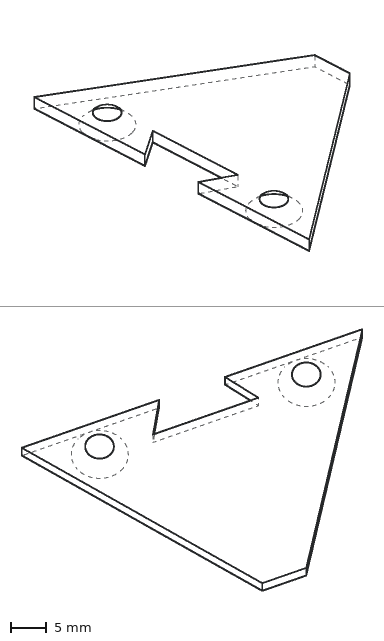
import cadquery as cq

base_width = 51.78
plate_height = 33.83
thickness = 2.0
side_slope = 1.5
top_width = base_width - 2 * plate_height / side_slope

notch_mouth_width = 10.0
notch_inner_width = 16.0
notch_depth = 5.0

hole_top_diameter = 4.0
hole_bottom_diameter = 8.0
hole_spacing = 31.4
hole_height = 4.0


def trapezoid_prism(lower_width, upper_width, height):
    """Trapezoid standing on the X axis, extruded through the thickness."""
    outline = [
        (-lower_width / 2, 0),
        (lower_width / 2, 0),
        (upper_width / 2, height),
        (-upper_width / 2, height),
    ]
    return cq.Workplane("XY").polyline(outline).close().extrude(thickness)


def countersunk_holes():
    """Pair of cones that cut the through holes, narrowing from the bottom face to the top face."""
    centres = [(side * hole_spacing / 2, hole_height) for side in (-1, 1)]
    cone = cq.Solid.makeCone(hole_bottom_diameter / 2, hole_top_diameter / 2, thickness)
    return cq.Workplane("XY").pushPoints(centres).eachpoint(cone)


plate = trapezoid_prism(base_width, top_width, plate_height)
notch = trapezoid_prism(notch_mouth_width, notch_inner_width, notch_depth)
result = plate.cut(notch).cut(countersunk_holes())